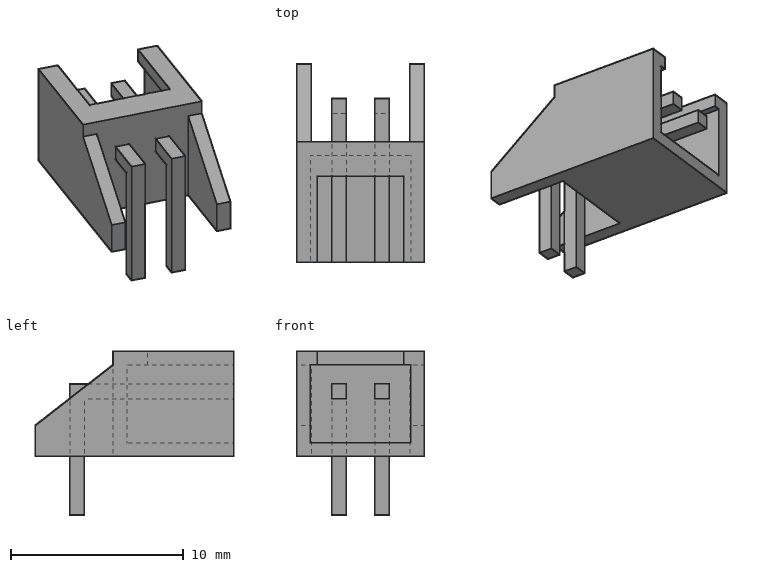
import cadquery as cq

shroud_width = 7.4
shroud_depth = 7.0
shroud_height = 6.1
side_wall = 0.8
floor_thickness = 0.8
roof_thickness = 0.8
back_wall = 0.8
cavity_width = shroud_width - 2 * side_wall
cavity_depth = shroud_depth - back_wall
cavity_height = shroud_height - floor_thickness - roof_thickness

roof_slot_width = 5.0
roof_slot_depth = 5.0

wing_thickness = 0.85
wing_length = 4.5
wing_rear_height = 1.8
wing_front_height = 5.3

pin_count = 2
pin_pitch = 2.5
pin_size = 0.85
pin_top = 4.2
pin_reach_behind_shroud = 2.5
pin_length_below_shroud = 3.4
pin_rear = shroud_depth + pin_reach_behind_shroud
pin_centres = [(i - (pin_count - 1) / 2) * pin_pitch for i in range(pin_count)]


def block(width, depth, height, x_centre=0, y_front=0, z_bottom=0):
    """Box centred on x_centre, reaching back from y_front and up from z_bottom."""
    return (
        cq.Workplane("XY")
        .box(width, depth, height, centered=(True, False, False))
        .translate((x_centre, y_front, z_bottom))
    )


def make_wing(x_left):
    """Upright plate with a sloping top, starting at the back of the shroud."""
    wing_rear = shroud_depth + wing_length
    return (
        cq.Workplane("YZ", origin=(x_left, 0, 0))
        .moveTo(shroud_depth, 0)
        .lineTo(wing_rear, 0)
        .lineTo(wing_rear, wing_rear_height)
        .lineTo(shroud_depth, wing_front_height)
        .close()
        .extrude(wing_thickness)
    )


def make_pin(x_centre):
    """L-shaped pin: a contact running back from the mating face, then a leg down."""
    pin_bottom = -pin_length_below_shroud
    contact_underside = pin_top - pin_size
    leg_front = pin_rear - pin_size
    return (
        cq.Workplane("YZ", origin=(x_centre - pin_size / 2, 0, 0))
        .moveTo(0, pin_top)
        .lineTo(pin_rear, pin_top)
        .lineTo(pin_rear, pin_bottom)
        .lineTo(leg_front, pin_bottom)
        .lineTo(leg_front, contact_underside)
        .lineTo(0, contact_underside)
        .close()
        .extrude(pin_size)
    )


def make_housing():
    """Shroud with its cavity, roof slot, wings and a matching hole for each pin."""
    housing = block(shroud_width, shroud_depth, shroud_height)
    for x_left in (-shroud_width / 2, shroud_width / 2 - wing_thickness):
        housing = housing.union(make_wing(x_left))

    cavity = block(cavity_width, cavity_depth, cavity_height, z_bottom=floor_thickness)
    roof_slot = block(
        roof_slot_width, roof_slot_depth, roof_thickness, z_bottom=shroud_height - roof_thickness
    )
    housing = housing.cut(cavity).cut(roof_slot)

    for x_centre in pin_centres:
        pin_hole = block(
            pin_size, back_wall, pin_size, x_centre, y_front=cavity_depth, z_bottom=pin_top - pin_size
        )
        housing = housing.cut(pin_hole)
    return housing


housing = make_housing()
pins = [make_pin(x_centre) for x_centre in pin_centres]

result = cq.Compound.makeCompound([housing.val(), *[pin.val() for pin in pins]])